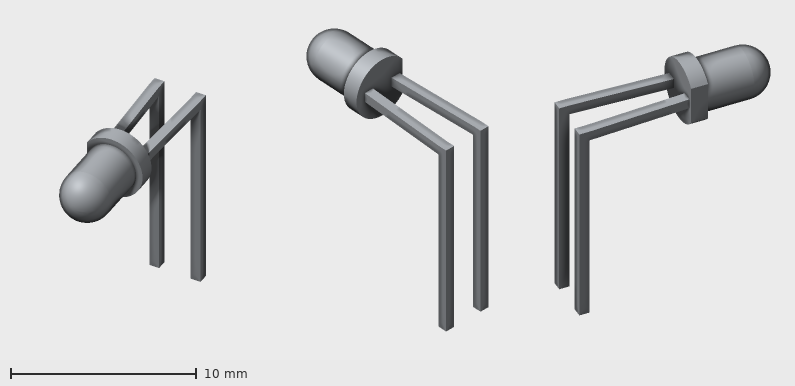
import cadquery as cq

bulb_diameter = 3.0
bulb_radius = bulb_diameter / 2
barrel_length = 2.76
flange_diameter = 3.79
flange_thickness = 1.0
lead_width = 0.6
lead_reach = 6.68
arm_length = lead_reach - lead_width
leg_pitch = 2.54
root_pitch = 1.97
overall_height = 13.89
leg_bottom = flange_diameter / 2 - overall_height


def make_bulb():
    """Barrel with a hemispherical front end, revolved about the Y axis."""
    barrel_end = -flange_thickness - barrel_length
    arc_offset = bulb_radius * 0.5 ** 0.5
    return (
        cq.Workplane("XY")
        .lineTo(bulb_radius, 0)
        .lineTo(bulb_radius, barrel_end)
        .threePointArc((arc_offset, barrel_end - arc_offset), (0, barrel_end - bulb_radius))
        .close()
        .revolve(360, (0, 0, 0), (0, 1, 0))
    )


def make_flange():
    """Round flange with one flat on the -X side, level with the barrel."""
    disc = cq.Workplane("XZ").circle(flange_diameter / 2).extrude(flange_thickness)
    keep_size = 2 * flange_diameter
    keep = cq.Workplane("XY").box(keep_size, keep_size, keep_size)
    keep = keep.translate((keep_size / 2 - bulb_radius, 0, 0))
    return disc.intersect(keep)


def make_lead(side):
    """Lead that splays outward behind the flange, then turns down; side is -1 or 1."""
    root_x = side * root_pitch / 2
    leg_x = side * leg_pitch / 2
    half_width = lead_width / 2
    splay_outline = [
        (root_x - half_width, 0),
        (root_x + half_width, 0),
        (leg_x + half_width, arm_length),
        (leg_x - half_width, arm_length),
    ]
    arm = cq.Workplane("XY").workplane(offset=-half_width).polyline(splay_outline).close().extrude(lead_width)
    leg = (
        cq.Workplane("XY")
        .workplane(offset=leg_bottom)
        .center(leg_x, lead_reach - half_width)
        .rect(lead_width, lead_width)
        .extrude(half_width - leg_bottom)
    )
    return arm.union(leg)


result = make_flange().union(make_bulb())
for side in (-1, 1):
    result = result.union(make_lead(side))